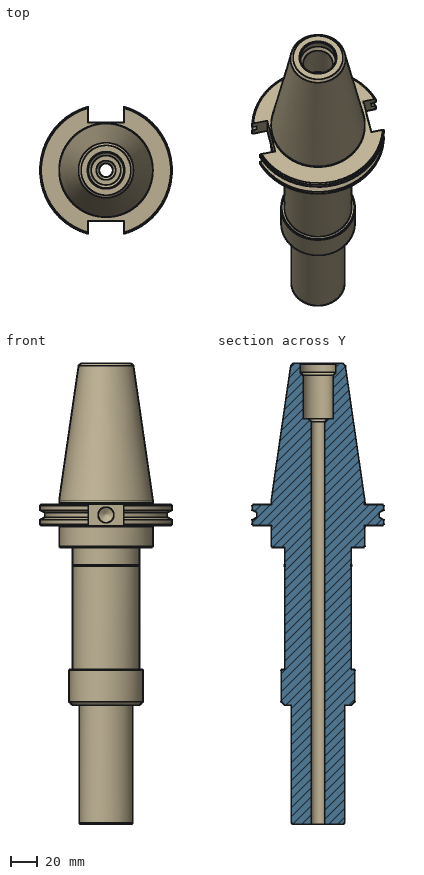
import cadquery as cq
import math

total_height = 342.5
gauge_height = 241.0
flange_top = 237.8
flange_bottom = 222.0
hub_bottom = 205.5
ring_top = 193.0
collar_top = 115.0
collar_bottom = 88.5

taper_top_diameter = 40.5
hub_diameter = 70.0
flange_diameter = 98.3
body_diameter = 50.0
collar_diameter = 55.0
tail_diameter = 40.0

taper_chamfer = 1.7
flange_chamfer = 1.0
hub_chamfer = 1.0
collar_top_chamfer = 0.7
collar_bottom_chamfer = 2.7
tail_chamfer = 1.0

ring_width = 1.0
ring_depth = 0.5
undercut_width = 1.0
undercut_depth = 0.5

groove_height = (flange_top + flange_bottom) / 2
groove_root_diameter = 91.5
groove_root_width = 3.5
groove_mouth_width = 7.2

slot_width = 26.7
front_slot_distance = 37.7
back_slot_distance = 35.5

side_hole_diameter = 11.5
side_hole_depth = 7.0
drill_point_angle = 118.0

mouth_diameter = 26.5
mouth_depth = 7.0
mouth_chamfer = 0.7
thread_diameter = 22.0
thread_depth = 41.0
seat_diameter = 14.5
through_diameter = 10.0


def revolve_profile(points):
    """Turn (radius, height) points about the Z axis."""
    return cq.Workplane("XZ").polyline(points).close().revolve(360, (0, 0, 0), (0, 1, 0))


def make_body():
    """Turned outside shape, listed from the tail end up to the taper."""
    taper_r = taper_top_diameter / 2
    taper_slope = (hub_diameter - taper_top_diameter) / 2 / (total_height - gauge_height)
    hub_r = hub_diameter / 2
    flange_r = flange_diameter / 2
    body_r = body_diameter / 2
    collar_r = collar_diameter / 2
    tail_r = tail_diameter / 2
    ring_r = body_r - ring_depth
    undercut_r = hub_r - undercut_depth
    root_r = groove_root_diameter / 2
    half_root = groove_root_width / 2
    half_mouth = groove_mouth_width / 2
    return revolve_profile([
        (0, 0),
        (tail_r - tail_chamfer, 0),
        (tail_r, tail_chamfer),
        (tail_r, collar_bottom),
        (collar_r - collar_bottom_chamfer, collar_bottom),
        (collar_r, collar_bottom + collar_bottom_chamfer),
        (collar_r, collar_top - collar_top_chamfer),
        (collar_r - collar_top_chamfer, collar_top),
        (body_r, collar_top),
        (body_r, ring_top - ring_width),
        (ring_r, ring_top - ring_width),
        (ring_r, ring_top),
        (body_r, ring_top),
        (body_r, hub_bottom),
        (hub_r - hub_chamfer, hub_bottom),
        (hub_r, hub_bottom + hub_chamfer),
        (hub_r, flange_bottom - undercut_width),
        (undercut_r, flange_bottom - undercut_width),
        (undercut_r, flange_bottom),
        (flange_r - flange_chamfer, flange_bottom),
        (flange_r, flange_bottom + flange_chamfer),
        (flange_r, groove_height - half_mouth),
        (root_r, groove_height - half_root),
        (root_r, groove_height + half_root),
        (flange_r, groove_height + half_mouth),
        (flange_r, flange_top - flange_chamfer),
        (flange_r - flange_chamfer, flange_top),
        (undercut_r, flange_top),
        (undercut_r, flange_top + undercut_width),
        (hub_r, flange_top + undercut_width),
        (hub_r, gauge_height),
        (taper_r + taper_chamfer * taper_slope, total_height - taper_chamfer),
        (taper_r - taper_chamfer, total_height),
        (0, total_height),
    ])


def make_bore():
    """Cutter for the bore; its steps end in 45 degree cones."""
    mouth_r = mouth_diameter / 2
    thread_r = thread_diameter / 2
    seat_r = seat_diameter / 2
    through_r = through_diameter / 2
    seat_chamfer = seat_r - through_r
    mouth_taper = mouth_r - thread_r
    mouth_floor = total_height - mouth_depth
    thread_floor = total_height - thread_depth
    return revolve_profile([
        (0, 0),
        (through_r, 0),
        (through_r, thread_floor - seat_chamfer),
        (seat_r, thread_floor),
        (thread_r, thread_floor),
        (thread_r, mouth_floor - mouth_taper),
        (mouth_r, mouth_floor),
        (mouth_r, total_height - mouth_chamfer),
        (mouth_r + mouth_chamfer, total_height),
        (0, total_height),
    ])


def make_slot(floor_distance, side):
    """Cutter for one drive slot; side is -1 for -Y and +1 for +Y."""
    height = flange_top - flange_bottom
    depth = flange_diameter / 2
    return (
        cq.Workplane("XY")
        .box(slot_width, depth, height, centered=(True, True, False))
        .translate((0, side * (floor_distance + depth / 2), flange_bottom))
    )


def make_side_hole():
    """Cutter with a conical drill point, aimed along +Y."""
    radius = side_hole_diameter / 2
    tip = radius / math.tan(math.radians(drill_point_angle / 2))
    profile = [(0, 0), (radius, 0), (radius, side_hole_depth), (0, side_hole_depth + tip)]
    hole = revolve_profile(profile)
    return hole.rotate((0, 0, 0), (1, 0, 0), -90).translate((0, -front_slot_distance, groove_height))


result = make_body().cut(make_bore())
result = result.cut(make_slot(front_slot_distance, -1))
result = result.cut(make_slot(back_slot_distance, 1))
result = result.cut(make_side_hole())